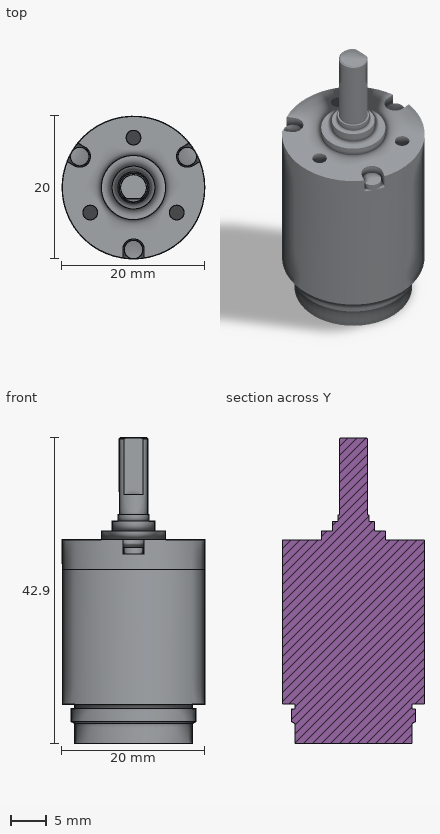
import cadquery as cq


end_cap_diameter = 16.5
flange_diameter = 17.5
body_diameter = 19.99
front_plate_diameter = 20.0
pilot_diameter = 9.0
bearing_diameter = 6.0
collar_diameter = 4.4
shaft_diameter = 4.0

flange_bottom_z = 2.8
flange_top_z = 4.9
body_bottom_z = 5.5
body_top_z = 24.4
front_plate_top_z = 28.6
pilot_top_z = 29.8
bearing_top_z = 31.2
collar_top_z = 32.1
shaft_top_z = 42.9

flange_taper_height = 0.3

shaft_chamfer = 0.2

flat_length = 8.0
flat_offset = 1.5

mount_hole_diameter = 2.05
mount_hole_circle_radius = 7.0
mount_hole_depth = 3.0
mount_hole_angles = (90, 210, 330)

notch_width = 3.0
notch_depth = 2.0
notch_circle_radius = 8.7
notch_angles = (30, 150, 270)
screw_head_diameter = 2.6
screw_head_height = 0.9


def disc(diameter, bottom_z, top_z):
    """Solid cylinder on the motor axis between two heights."""
    return cq.Workplane("XY").workplane(offset=bottom_z).circle(diameter / 2).extrude(top_z - bottom_z)


def make_housing():
    """End cap with its flange, motor body, front plate and bearing steps."""
    flange_step = (flange_diameter - end_cap_diameter) / 2
    flange = (
        disc(flange_diameter, flange_bottom_z, flange_top_z)
        .faces("<Z")
        .chamfer(flange_taper_height, flange_step)
    )
    return (
        disc(end_cap_diameter, 0, body_bottom_z)
        .union(flange)
        .union(disc(body_diameter, body_bottom_z, body_top_z))
        .union(disc(front_plate_diameter, body_top_z, front_plate_top_z))
        .union(disc(pilot_diameter, front_plate_top_z, pilot_top_z))
        .union(disc(bearing_diameter, pilot_top_z, bearing_top_z))
        .union(disc(collar_diameter, bearing_top_z, collar_top_z))
    )


def make_shaft():
    """Output shaft with a chamfered tip and a flat facing -Y."""
    shaft = disc(shaft_diameter, collar_top_z, shaft_top_z).faces(">Z").chamfer(shaft_chamfer)
    flat_cut = (
        cq.Workplane("XY")
        .workplane(offset=shaft_top_z - flat_length)
        .center(0, -flat_offset - shaft_diameter / 2)
        .rect(shaft_diameter, shaft_diameter)
        .extrude(flat_length)
    )
    return shaft.cut(flat_cut)


def make_mount_hole(angle):
    """Cutter for one blind hole in the front plate."""
    return (
        cq.Workplane("XY")
        .workplane(offset=front_plate_top_z - mount_hole_depth)
        .center(mount_hole_circle_radius, 0)
        .circle(mount_hole_diameter / 2)
        .extrude(mount_hole_depth)
        .rotate((0, 0, 0), (0, 0, 1), angle)
    )


def make_notch(angle):
    """Cutter for one round-ended notch, open at the rim, that leaves a screw head on its floor."""
    floor = cq.Workplane("XY").workplane(offset=front_plate_top_z - notch_depth)
    center = floor.center(notch_circle_radius, 0)
    round_end = center.circle(notch_width / 2).extrude(notch_depth)
    opening = center.rect(front_plate_diameter / 2, notch_width, centered=(False, True)).extrude(notch_depth)
    screw_head = center.circle(screw_head_diameter / 2).extrude(screw_head_height)
    return round_end.union(opening).cut(screw_head).rotate((0, 0, 0), (0, 0, 1), angle)


result = make_housing().union(make_shaft())

for hole_angle in mount_hole_angles:
    result = result.cut(make_mount_hole(hole_angle))

for notch_angle in notch_angles:
    result = result.cut(make_notch(notch_angle))